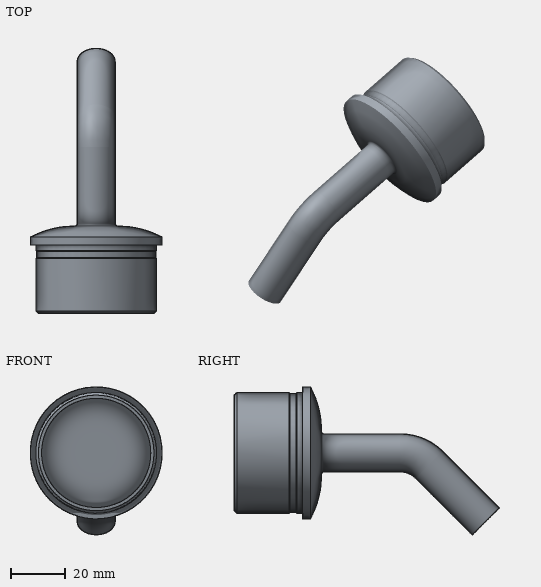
import cadquery as cq
import math

overall_length = 96.95

flange_radius = 24.1
flange_start = 25.0
flange_end = 27.9
sleeve_radius = 22.1
end_chamfer = 1.0
bore_radius = 20.0
bore_depth = flange_start

groove_depth = 0.3
groove_radius = sleeve_radius - groove_depth
groove_start = 20.1
groove_end = 23.0

dome_top = 32.0

rod_radius = 7.0
rod_fillet = 0.8
fillet_outer_radius = rod_radius + rod_fillet
bend_radius = 15.0
bend_angle = 45.0
leg_length = 29.2

bend_sin = math.sin(math.radians(bend_angle))
bend_cos = math.cos(math.radians(bend_angle))
leg_reach = leg_length * bend_cos + rod_radius * bend_sin
bend_start = overall_length - bend_radius * bend_sin - leg_reach


def make_body():
    """Revolved sleeve, groove, flange, dome and rod fillet, without the bore."""
    dome_run = flange_radius - fillet_outer_radius
    dome_drop = dome_top - flange_end
    dome_arc_radius = (dome_run**2 + dome_drop**2) / (2 * dome_drop)
    half_sweep = math.asin(dome_run / dome_arc_radius) / 2
    dome_middle = (
        fillet_outer_radius + dome_arc_radius * math.sin(half_sweep),
        dome_top - dome_arc_radius * (1 - math.cos(half_sweep)),
    )

    fillet_end = dome_top + rod_fillet
    fillet_middle = (
        fillet_outer_radius - rod_fillet * math.sin(math.pi / 4),
        fillet_end - rod_fillet * math.cos(math.pi / 4),
    )
    return (
        cq.Workplane("XY")
        .moveTo(0, 0)
        .lineTo(sleeve_radius - end_chamfer, 0)
        .lineTo(sleeve_radius, end_chamfer)
        .lineTo(sleeve_radius, groove_start)
        .lineTo(groove_radius, groove_start + groove_depth)
        .lineTo(groove_radius, groove_end - groove_depth)
        .lineTo(sleeve_radius, groove_end)
        .lineTo(sleeve_radius, flange_start)
        .lineTo(flange_radius, flange_start)
        .lineTo(flange_radius, flange_end)
        .threePointArc(dome_middle, (fillet_outer_radius, dome_top))
        .threePointArc(fillet_middle, (rod_radius, fillet_end))
        .lineTo(0, fillet_end)
        .close()
        .revolve(360, (0, 0, 0), (0, 1, 0))
    )


def make_rod():
    """Round rod leaving the dome along +Y and bending down towards -Z."""
    rod_start = flange_end
    half_angle = math.radians(bend_angle / 2)
    bend_middle = (
        bend_start + bend_radius * math.sin(half_angle),
        -bend_radius * (1 - math.cos(half_angle)),
    )
    bend_end = (
        bend_start + bend_radius * bend_sin,
        -bend_radius * (1 - bend_cos),
    )
    leg_end = (
        bend_end[0] + leg_length * bend_cos,
        bend_end[1] - leg_length * bend_sin,
    )
    path = (
        cq.Workplane("YZ")
        .moveTo(rod_start, 0)
        .lineTo(bend_start, 0)
        .threePointArc(bend_middle, bend_end)
        .lineTo(*leg_end)
    )
    return cq.Workplane("XZ", origin=(0, rod_start, 0)).circle(rod_radius).sweep(path)


def make_bore():
    """Blind round bore from the open end of the sleeve."""
    return cq.Workplane("XZ").circle(bore_radius).extrude(-bore_depth)


result = make_body().union(make_rod()).cut(make_bore())